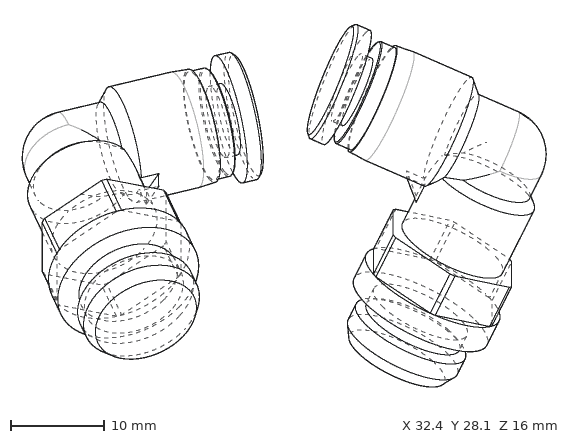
import cadquery as cq
import math


bend_dia = 10.0
run_dia = 12.02
branch_dia = 12.8
lip_base_dia = 12.5
lip_dia = 12.0
lip_chamfer = 0.13

run_cone_length = (run_dia - bend_dia) / 2
run_full_x = 3.95
run_end_x = 11.95

branch_cone_start_y = 4.8
branch_full_y = 6.12
taper_start_y = 13.15
lip_start_y = 15.1
lip_end_y = 16.9

gusset_reach = 14.42
gusset_thickness = 1.95

hex_flats = 14.05
hex_corner_dia = 15.9
hex_length = 5.0
flange_dia = 16.0
flange_length = 3.1
groove_dia = 11.2
thread_dia = 13.15
tip_dia = 11.47
groove_end_x = 21.97
tip_chamfer_angle = math.radians(30)
stud_end_x = 32.4 - branch_dia / 2

neck_dia = 7.9
collar_start_y = 18.15
collar_end_y = 20.1
collar_major_dia = 14.2
collar_minor_dia = 11.9
collar_tilt = 120
collar_chamfer = 0.35


def revolved_about_x(stations):
    """Solid of revolution about X from (x, diameter) stations."""
    points = [(x, dia / 2) for x, dia in stations]
    profile = [(points[0][0], 0)] + points + [(points[-1][0], 0)]
    return cq.Workplane("XY").polyline(profile).close().revolve(360, (0, 0, 0), (1, 0, 0))


def revolved_about_y(stations):
    """Solid of revolution about Y from (y, diameter) stations."""
    points = [(dia / 2, y) for y, dia in stations]
    profile = [(0, points[0][1])] + points + [(0, points[-1][1])]
    return cq.Workplane("XY").polyline(profile).close().revolve(360, (0, 0, 0), (0, 1, 0))


def make_gusset():
    """Triangular web with its square corner at the crossing of the axes."""
    corners = [(0, 0), (gusset_reach, 0), (0, gusset_reach)]
    return cq.Workplane("XY").polyline(corners).close().extrude(gusset_thickness / 2, both=True)


def make_elbow():
    """Run tube and branch tube joined by a ball-shaped outer corner."""
    run = revolved_about_x([
        (0, bend_dia),
        (run_full_x - run_cone_length, bend_dia),
        (run_full_x, run_dia),
        (run_end_x, run_dia),
    ])
    web = make_gusset().intersect(cq.Workplane("XY").rect(2 * run_end_x, 2 * run_end_x).extrude(
        gusset_thickness, both=True))
    branch = revolved_about_y([
        (0, bend_dia),
        (branch_cone_start_y, bend_dia),
        (branch_full_y, branch_dia),
        (taper_start_y, branch_dia),
        (lip_start_y, lip_base_dia),
        (lip_start_y, lip_dia),
        (lip_end_y - lip_chamfer, lip_dia),
        (lip_end_y, lip_dia - 2 * lip_chamfer),
    ])
    corner_ball = cq.Workplane("XY").sphere(bend_dia / 2)
    return run.union(branch).union(corner_ball).union(web)


def make_stud():
    """Hexagon with trimmed corners, sealing flange, undercut and thread."""
    hexagon_across_corners = hex_flats / math.cos(math.radians(30))
    hexagon = (
        cq.Workplane("YZ", origin=(run_end_x, 0, 0))
        .transformed(rotate=(0, 0, 90))
        .polygon(6, hexagon_across_corners)
        .extrude(hex_length)
    )
    flange_start_x = run_end_x + hex_length
    flange_end_x = flange_start_x + flange_length
    trim = revolved_about_x([(run_end_x, hex_corner_dia), (flange_start_x, hex_corner_dia)])

    flank_length = (thread_dia - groove_dia) / 2 * math.tan(tip_chamfer_angle)
    tip_length = (thread_dia - tip_dia) / 2 / math.tan(tip_chamfer_angle)
    turned = revolved_about_x([
        (flange_start_x, flange_dia),
        (flange_end_x, flange_dia),
        (flange_end_x, groove_dia),
        (groove_end_x, groove_dia),
        (groove_end_x + flank_length, thread_dia),
        (stud_end_x - tip_length, thread_dia),
        (stud_end_x, tip_dia),
    ])
    return hexagon.intersect(trim).union(turned)


def make_release_collar():
    """Tilted oval button on a round neck."""
    neck = revolved_about_y([(lip_end_y, neck_dia), (collar_start_y, neck_dia)])
    button = (
        cq.Workplane("XZ", origin=(0, collar_start_y, 0))
        .ellipse(collar_major_dia / 2, collar_minor_dia / 2, rotation_angle=collar_tilt)
        .extrude(collar_start_y - collar_end_y)
        .faces(">Y")
        .chamfer(collar_chamfer)
    )
    return neck.union(button)


elbow = make_elbow()
stud = make_stud()
release_collar = make_release_collar()

result = cq.Compound.makeCompound([elbow.val(), stud.val(), release_collar.val()])